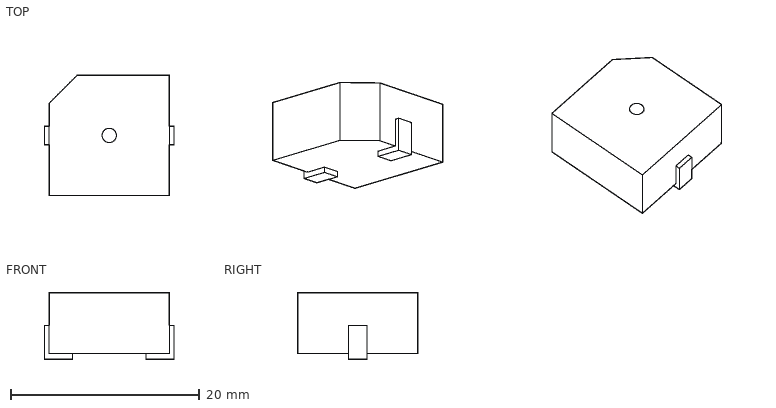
import cadquery as cq

overall_width = 13.8
overall_height = 7.1

body_side = 12.8
foot_thickness = 0.6
body_height = overall_height - foot_thickness
corner_cut = 3.0

hole_diameter = 1.52
hole_depth = 2.0

lead_width = 2.0
lead_height = 3.6
foot_length = 3.0


def make_body():
    """Square block with the -X, +Y vertical corner cut at 45 degrees and a sound hole."""
    block = (
        cq.Workplane("XY")
        .workplane(offset=foot_thickness)
        .rect(body_side, body_side)
        .extrude(body_height)
    )
    block = block.edges("|Z").edges("<X").edges(">Y").chamfer(corner_cut)
    return block.faces(">Z").workplane(origin=(0, 0, 0)).hole(hole_diameter, hole_depth)


def make_lead(side):
    """L-shaped lead running up the housing wall and under it; side is -1 or +1 along X."""
    outer_x = side * overall_width / 2
    wall_x = side * body_side / 2
    foot_end_x = side * (overall_width / 2 - foot_length)
    return (
        cq.Workplane("XZ")
        .moveTo(outer_x, 0)
        .lineTo(outer_x, lead_height)
        .lineTo(wall_x, lead_height)
        .lineTo(wall_x, foot_thickness)
        .lineTo(foot_end_x, foot_thickness)
        .lineTo(foot_end_x, 0)
        .close()
        .extrude(lead_width / 2, both=True)
    )


result = make_body()
for side in (-1, 1):
    result = result.union(make_lead(side))